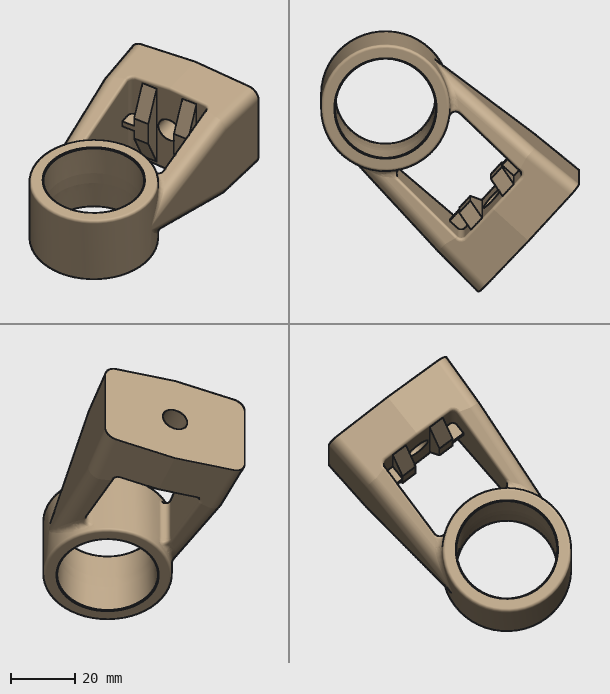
import cadquery as cq
import math

ring_radius = 20.0
ring_height = 24.0
ring_edge_round = 1.0
bore_radius = 15.3
bore_land_height = 4.0
flare_radius = 15.6
rim_chamfer = 0.3

back_y = 80.5 - ring_radius
back_half_width = 23.14
front_half_width = 19.9
ridge_z = 16.86
roof_slope = math.radians(4.3)
arm_start_y = 42.3
arm_start_z = 15.49
arm_slope = math.radians(15)
corner_round = 4.0

window_back_half_width = 14.2
window_front_half_width = 13.85
window_back_y = 45.15
window_corner_radius = 1.6
window_edge_round = 1.0
joint_round = 2.0

rib_inner_x = 4.7
rib_outer_x = 9.8
rib_depth = 5.0
rib_root_half_height = 14.7
rib_tip_half_height = 4.0
shelf_thickness = 2.0

bolt_hole_radius = 4.0

shelf_embed = 0.8
tolerance = 0.04

eave_z = ridge_z - back_half_width * math.tan(roof_slope)
arm_end_z = arm_start_z - arm_start_y * math.tan(arm_slope)
arm_top_z = arm_start_z + (window_back_y - arm_start_y) * math.tan(arm_slope)


def make_block():
    """Tapered block with ridged roof and floor, sloping down to the ring."""
    plan = [
        (-back_half_width, back_y),
        (back_half_width, back_y),
        (front_half_width, 0),
        (-front_half_width, 0),
    ]
    section = [
        (-back_half_width, -eave_z),
        (0, -ridge_z),
        (back_half_width, -eave_z),
        (back_half_width, eave_z),
        (0, ridge_z),
        (-back_half_width, eave_z),
    ]
    profile = [
        (0, -arm_end_z),
        (window_back_y, -arm_top_z),
        (window_back_y, -ridge_z),
        (back_y, -ridge_z),
        (back_y, ridge_z),
        (window_back_y, ridge_z),
        (window_back_y, arm_top_z),
        (0, arm_end_z),
    ]
    plan_prism = cq.Workplane("XY").polyline(plan).close().extrude(ridge_z, both=True)
    section_prism = cq.Workplane("XZ").polyline(section).close().extrude(-back_y)
    profile_prism = cq.Workplane("YZ").polyline(profile).close().extrude(back_half_width, both=True)
    block = plan_prism.intersect(section_prism).intersect(profile_prism)
    side_faces = block.faces("<X or >X").vals()
    front_and_back = block.faces("<Y or >Y").edges().vals()
    corners = [
        edge
        for face in side_faces
        for edge in face.Edges()
        if not any(edge.isSame(other) for other in front_and_back)
    ]
    return block.newObject(corners).fillet(corner_round)


def cut_window(block):
    """Open the block through Z between the arms and round the window's rims."""
    window = (
        cq.Workplane("XY")
        .moveTo(-window_back_half_width, window_back_y)
        .lineTo(window_back_half_width, window_back_y)
        .lineTo(window_front_half_width, 0)
        .lineTo(-window_front_half_width, 0)
        .close()
        .extrude(ridge_z, both=True)
        .edges("|Z and >Y")
        .fillet(window_corner_radius)
    )
    opened = block.cut(window)
    inside = cq.selectors.BoxSelector(
        (-window_back_half_width - tolerance, tolerance, -ridge_z),
        (window_back_half_width + tolerance, window_back_y + tolerance, ridge_z),
    )
    rims = opened.edges(inside).edges("not |Z")
    return rims.fillet(window_edge_round)


def make_ring():
    """Solid cylinder with rounded rims; its seam faces away from the arms."""
    cylinder = cq.Workplane("XY", origin=(0, 0, -ring_height / 2)).circle(ring_radius).extrude(ring_height)
    return cylinder.rotate((0, 0, 0), (0, 0, 1), -90).edges("%CIRCLE").fillet(ring_edge_round)


def is_on_ring_wall(edge):
    """True when the edge lies on the ring's outer wall."""
    points = [edge.positionAt(step / 4) for step in range(5)]
    return all(abs(math.hypot(point.x, point.y) - ring_radius) < tolerance for point in points)


def join_ring(frame, ring):
    """Join frame and ring with a round blend, made on the +X half and mirrored."""
    positive_x_space = cq.Workplane("XY").box(2 * back_y, 4 * back_y, 2 * back_y, centered=(False, True, True))
    half = frame.intersect(positive_x_space).union(ring.intersect(positive_x_space))
    wall_limit = ring_height / 2 - ring_edge_round - tolerance
    joint_edges = [
        edge
        for edge in half.edges().vals()
        if is_on_ring_wall(edge) and abs(edge.Center().z) < wall_limit and edge.Center().x > tolerance
    ]
    half = half.newObject(joint_edges).fillet(joint_round)
    return half.union(half.mirror("YZ"))


def make_bore():
    """Bore with a short cylindrical land, flaring out to both rims on arcs tangent to it."""
    half_land = bore_land_height / 2
    half_height = ring_height / 2
    flare_length = half_height - rim_chamfer - half_land
    flare_growth = flare_radius - bore_radius
    flare_arc_radius = (flare_length**2 + flare_growth**2) / (2 * flare_growth)
    rim_radius = flare_radius + rim_chamfer
    return (
        cq.Workplane("XZ", origin=(0, 0, -half_height))
        .lineTo(rim_radius, 0)
        .lineTo(flare_radius, rim_chamfer)
        .radiusArc((bore_radius, half_height - half_land), -flare_arc_radius)
        .lineTo(bore_radius, half_height + half_land)
        .radiusArc((flare_radius, ring_height - rim_chamfer), -flare_arc_radius)
        .lineTo(rim_radius, ring_height)
        .lineTo(0, ring_height)
        .close()
        .revolve(360, (0, 0, 0), (0, 1, 0))
    )


def make_rib(side):
    """Tapered rib with a level shelf reaching into the window's side wall."""
    tip_y = window_back_y - rib_depth
    rib = (
        cq.Workplane("YZ", origin=(side * rib_inner_x, 0, 0))
        .moveTo(window_back_y, -rib_root_half_height)
        .lineTo(tip_y, -rib_tip_half_height)
        .lineTo(tip_y, rib_tip_half_height)
        .lineTo(window_back_y, rib_root_half_height)
        .close()
        .extrude(side * (rib_outer_x - rib_inner_x))
    )
    shelf_length = window_back_half_width + shelf_embed - rib_outer_x
    shelf_depth = rib_depth + shelf_embed
    shelf_center = (side * (rib_outer_x + shelf_length / 2), tip_y + shelf_depth / 2, 0)
    shelf = cq.Workplane("XY").box(shelf_length, shelf_depth, shelf_thickness).translate(shelf_center)
    return rib.union(shelf)


def make_bolt_hole():
    hole = cq.Workplane("XZ", origin=(0, back_y, 0)).circle(bolt_hole_radius)
    return hole.extrude(back_y - window_back_y + tolerance)


bracket = join_ring(cut_window(make_block()), make_ring())
for side in (-1, 1):
    bracket = bracket.union(make_rib(side))
result = bracket.cut(make_bore()).cut(make_bolt_hole())